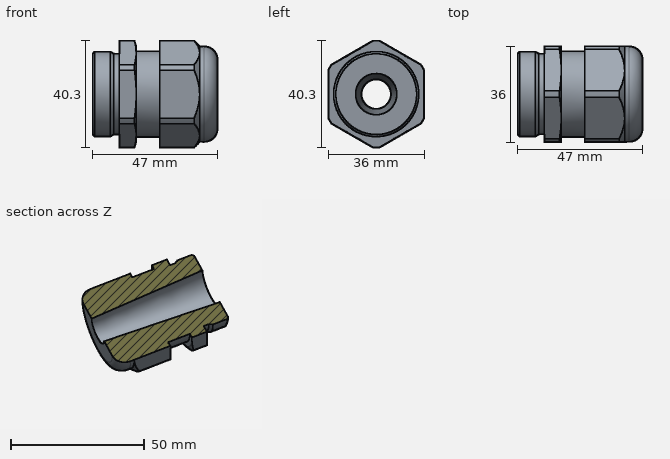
import cadquery as cq
import math

thread_chamfer = 0.75
thread_end = 6.67
neck_start = 8.0
flange_start = 10.0
flange_corner_end = 15.7
flange_end = 16.35
nut_start = 25.2
nut_corner_end = 38.1
nut_end = 40.2
dome_start = 41.85
total_length = 47.0

thread_diameter = 32.0
neck_diameter = 30.35
body_diameter = 32.4
across_flats = 36.0
across_corners = 40.3
bore_diameter = 11.0
bore_mouth_diameter = 15.5

dome_radius = total_length - dome_start


def hexagon_prism(start, corner_end, end):
    """Hexagon along X, corners turned down and coned off towards +X."""
    sharp_corner_diameter = across_flats / math.cos(math.pi / 6)
    hexagon = (
        cq.Workplane("YZ", origin=(start, 0, 0))
        .transformed(rotate=(0, 0, 90))
        .polygon(6, sharp_corner_diameter)
        .extrude(end - start)
    )
    turned_blank = (
        cq.Workplane("XY")
        .moveTo(start, 0)
        .lineTo(start, across_corners / 2)
        .lineTo(corner_end, across_corners / 2)
        .lineTo(end, across_flats / 2)
        .lineTo(end, 0)
        .close()
        .revolve(360, (0, 0, 0), (1, 0, 0))
    )
    return hexagon.intersect(turned_blank)


def turned_body():
    """Thread, neck, plain body and domed cap as one revolved profile."""
    cap_radius = across_flats / 2
    dome_middle = dome_radius * math.sqrt(0.5)
    return (
        cq.Workplane("XY")
        .moveTo(0, 0)
        .lineTo(0, neck_diameter / 2)
        .lineTo(thread_chamfer, thread_diameter / 2)
        .lineTo(thread_end, thread_diameter / 2)
        .lineTo(neck_start, neck_diameter / 2)
        .lineTo(flange_start, neck_diameter / 2)
        .lineTo(flange_start, body_diameter / 2)
        .lineTo(nut_end, body_diameter / 2)
        .lineTo(nut_end, cap_radius)
        .lineTo(dome_start, cap_radius)
        .threePointArc(
            (dome_start + dome_middle, cap_radius - dome_radius + dome_middle),
            (total_length, cap_radius - dome_radius),
        )
        .lineTo(total_length, 0)
        .close()
        .revolve(360, (0, 0, 0), (1, 0, 0))
    )


def tapered_bore():
    """Through bore narrowing from the thread end to the cap end."""
    return (
        cq.Workplane("XY")
        .lineTo(0, bore_mouth_diameter / 2)
        .lineTo(total_length, bore_diameter / 2)
        .lineTo(total_length, 0)
        .close()
        .revolve(360, (0, 0, 0), (1, 0, 0))
    )


flange = hexagon_prism(flange_start, flange_corner_end, flange_end)
cap_nut = hexagon_prism(nut_start, nut_corner_end, nut_end)
result = turned_body().union(flange).union(cap_nut).cut(tapered_bore())